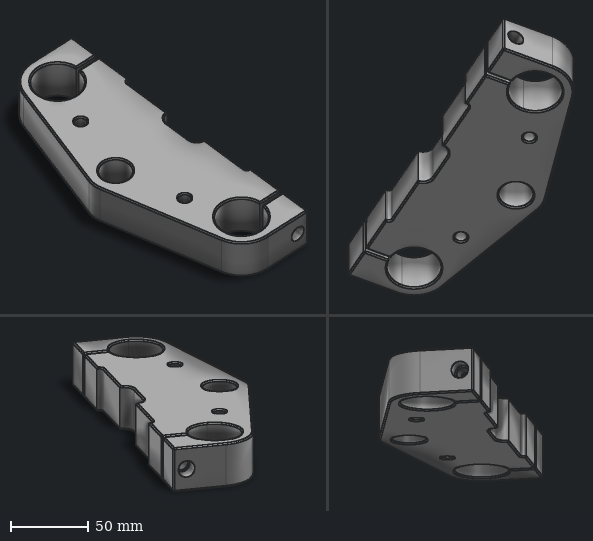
import cadquery as cq
import math

length = 225.0
width = 85.0
thickness = 30.0
edge_chamfer = 1.0
corner_chamfer = 1.0

tube_x = 87.5
tube_y = -35.5
tube_diameter = 35.0
stem_y = -65.5
stem_diameter = 22.3
mount_x = 49.5
mount_y = -50.4
mount_diameter = 8.0

corner_radius = length / 2 - tube_x
nose_radius = width + stem_y

slot_width = 2.5
pinch_y = -9.0
pinch_diameter = 8.3
pinch_head_diameter = 11.0
pinch_head_depth = 11.2
pinch_depth = 45.0
pinch_tip_angle = 118.0

outer_relief_half_width = 57.5
outer_relief_depth = 3.4
outer_relief_radius = 2.2
inner_relief_half_width = 17.5
inner_relief_depth = 10.5
inner_relief_radius = inner_relief_depth - outer_relief_depth

SIDES = (-1, 1)


def plate():
    """Plate whose slanted front edges are tangent to the corner and nose arcs."""
    rise = tube_y - stem_y
    span = math.hypot(tube_x, rise)
    slant = math.atan2(rise, tube_x) - math.asin((corner_radius - nose_radius) / span)

    def arc_point(center_x, center_y, radius, angle):
        return center_x + radius * math.sin(angle), center_y - radius * math.cos(angle)

    corner_mid_angle = (slant + math.pi / 2) / 2
    corner_mid = arc_point(tube_x, tube_y, corner_radius, corner_mid_angle)
    corner_end = arc_point(tube_x, tube_y, corner_radius, slant)
    nose_start = arc_point(0, stem_y, nose_radius, slant)

    def mirrored(point):
        return -point[0], point[1]

    return (
        cq.Workplane("XY")
        .moveTo(-length / 2, 0)
        .lineTo(length / 2, 0)
        .lineTo(length / 2, tube_y)
        .threePointArc(corner_mid, corner_end)
        .lineTo(*nose_start)
        .threePointArc((0, -width), mirrored(nose_start))
        .lineTo(*mirrored(corner_end))
        .threePointArc(mirrored(corner_mid), (-length / 2, tube_y))
        .close()
        .extrude(thickness)
    )


def relief(half_width, depth, radius):
    """Cutter open to the back, with rounded inner corners."""
    return (
        cq.Workplane("XY")
        .rect(2 * half_width, 2 * depth)
        .extrude(thickness)
        .edges("|Z and <Y")
        .fillet(radius)
    )


def vertical_bore(x, y, diameter):
    return cq.Workplane("XY").center(x, y).circle(diameter / 2).extrude(thickness)


def clamp_slot(x):
    return cq.Workplane("XY").center(x, tube_y / 2).rect(slot_width, -tube_y).extrude(thickness)


def pinch_hole(side):
    """Blind drilled hole with a counterbored mouth, running inward from one end of the plate."""
    radius = pinch_diameter / 2
    head_radius = pinch_head_diameter / 2
    tip_length = radius / math.tan(math.radians(pinch_tip_angle / 2))
    profile = [
        (0, 0),
        (head_radius, 0),
        (head_radius, pinch_head_depth),
        (radius, pinch_head_depth),
        (radius, pinch_depth),
        (0, pinch_depth + tip_length),
    ]
    mouth = cq.Plane(
        origin=(side * length / 2, pinch_y, thickness / 2),
        xDir=(0, 1, 0),
        normal=(0, 0, side),
    )
    return cq.Workplane(mouth).polyline(profile).close().revolve(360, (0, 0), (0, 1))


body = plate()
for side in SIDES:
    body = body.cut(vertical_bore(side * tube_x, tube_y, tube_diameter))
    body = body.cut(clamp_slot(side * tube_x))

back_corners = cq.selectors.BoxSelector(
    (-length, -corner_chamfer, 0),
    (length, corner_chamfer, thickness),
)
body = body.edges("|Z").edges(back_corners).chamfer(corner_chamfer)

body = body.cut(relief(outer_relief_half_width, outer_relief_depth, outer_relief_radius))
body = body.cut(relief(inner_relief_half_width, inner_relief_depth, inner_relief_radius))
body = body.cut(vertical_bore(0, stem_y, stem_diameter))
for side in SIDES:
    body = body.cut(vertical_bore(side * mount_x, mount_y, mount_diameter))

body = body.faces("<Z or >Z").chamfer(edge_chamfer)

for side in SIDES:
    body = body.cut(pinch_hole(side))

result = body